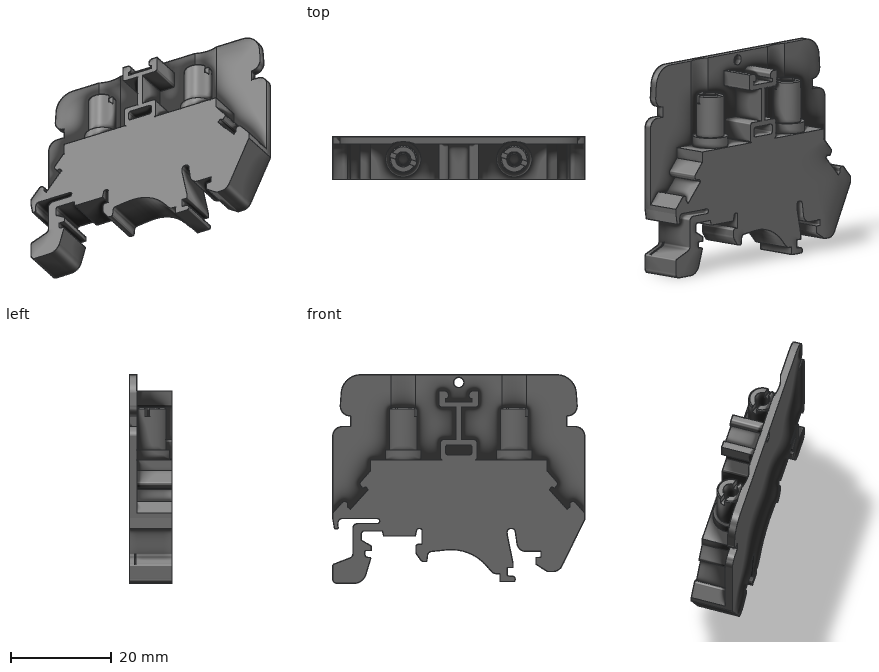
import cadquery as cq
import math


length = 50.0
height = 41.4
depth = 8.5
plate_thickness = 1.5
body_depth = depth - plate_thickness
half_length = length / 2
deck_z = 24.5

pillar_x = 11.0
pillar_y = 4.0
collar_diameter = 7.0
collar_height = 2.0
pillar_diameter = 5.5
pillar_top_z = 34.85
pillar_chamfer = 0.25
bore_diameter = 3.0
bore_floor_z = deck_z + collar_height
pin_diameter = 2.5
pin_height = 1.0
pin_chamfer = 0.25
bore_floor_chamfer = (bore_diameter - pin_diameter) / 2
driver_slot_width = 1.0
driver_slot_depth = 1.75
driver_slot_angle = -20.0

relief_half_width = 2.45
relief_depth = 0.5

post_base_half_width = 3.6
post_base_top_z = 28.5
post_neck_half_width = 0.55
clip_half_width = 3.9
clip_bottom_z = 35.0
clip_floor_z = 36.0
clip_top_z = 38.2
clip_pocket_half_width = 2.6
clip_lip_half_gap = 2.05
clip_lip_bottom_z = 36.65
clip_lip_upper_radius = 0.85
clip_lip_lower_radius = 0.5
post_corner_radius = 0.5
post_foot_undercut = 0.25
window_half_width = 2.6
window_bottom_z = 25.5
window_height = 2.0
window_corner_radius = 0.5

plate_hole_diameter = 2.0
plate_hole_z = 39.85

groove_y = 7.15
groove_width = 0.35
groove_depth = 0.45
foot_slope_low = (-half_length, 3.75)
foot_slope_high = (-21.0, 5.3)

plate_side = [
    (23.05, height, 3.9),
    (23.5, 35.25, 0),
    (23.5, 33.2, 2.0),
    (21.45, 33.2, 0),
    (21.45, 31.15, 0),
    (half_length, 31.15, 2.0),
]

body_side = [
    (17.45, deck_z, 0),
    (17.45, 22.4, 0),
    (19.75, 19.8, 0.6),
    (19.0, 18.85, 0.15),
    (18.45, 19.2, 0.3),
    (17.95, 18.6, 0),
    (21.5, 14.7, 0),
    (22.05, 15.25, 0.2),
    (22.05, 16.0, 0.25),
    (22.75, 16.45, 0.6),
    (half_length, 13.95, 0),
]

underside = [
    (half_length, 12.7, 0),
    (19.9, 2.35, 2.0),
    (17.6, 2.35, 0.25),
    (15.3, 3.8, 0.2),
    (15.3, 5.2, 0),
    (16.3, 5.2, 0.2),
    (16.3, 6.35, 0),
    (11.75, 6.35, 1.75),
    (11.1, 10.9, 0.75),
    (9.55, 10.9, 0.75),
    (9.65, 9.5, 0),
    (10.8, 3.9, 0.15),
    (10.8, 3.15, 0.15),
    (9.65, 3.15, 0),
    (9.65, 1.5, 0.25),
    (11.2, 1.45, 0.6),
    (11.2, 0.35, 0.4),
    (8.15, 0.35, 0.2),
    (8.15, 1.9, 0),
    (6.9, 1.9, 1.5),
    (2.3, 7.15, 9.25),
    (-6.1, 6.25, 0.75),
    (-6.3, 4.3, 0.4),
    (-7.35, 4.35, 0.9),
    (-8.5, 6.0, 1.0),
    (-8.5, 7.8, 0.5),
    (-7.3, 7.8, 0),
    (-7.3, 10.9, 0.45),
    (-8.25, 10.9, 0.45),
    (-8.6, 9.4, 0),
    (-14.9, 9.4, 0.15),
    (-15.15, 10.4, 0),
    (-19.3, 10.4, 0.6),
    (-19.3, 8.6, 0.15),
    (-17.3, 7.4, 0.15),
    (-17.3, 6.5, 0.15),
    (-18.6, 6.5, 0.15),
    (-18.6, 5.2, 0.6),
    (-17.35, 5.2, 0.25),
    (-18.95, 0.0, 2.5),
    (-half_length, 0.0, 0.9),
    (foot_slope_low[0], foot_slope_low[1], 0.5),
    (foot_slope_high[0], foot_slope_high[1], 0.8),
    (foot_slope_high[0], 11.9, 1.0),
    (-15.7, 11.9, 0.45),
    (-15.7, 12.85, 0.45),
    (-23.85, 12.85, 0.8),
    (-23.95, 11.6, 0),
    (-23.85, 10.85, 0.2),
    (-24.65, 10.85, 0.2),
    (-half_length, 12.9, 0),
]


def mirrored(side):
    """The corners of a right-hand side, mirrored to the left and in reverse order."""
    return [(-x, z, radius) for x, z, radius in reversed(side)]


def step_towards(start, target, distance):
    """The point at a distance from start on the line to target."""
    span = math.dist(start, target)
    return (
        start[0] + (target[0] - start[0]) * distance / span,
        start[1] + (target[1] - start[1]) * distance / span,
    )


def corner_arc(before, corner, after, radius):
    """Start, middle and end of the arc that rounds a corner between two neighbouring points."""
    towards_before = step_towards(corner, before, 0.5)
    towards_after = step_towards(corner, after, 0.5)
    half_angle = math.asin(math.dist(towards_before, towards_after) / 1)
    tangent_length = radius / math.tan(half_angle)
    chord_middle = ((towards_before[0] + towards_after[0]) / 2, (towards_before[1] + towards_after[1]) / 2)
    middle_distance = radius / math.sin(half_angle) - radius
    return (
        step_towards(corner, before, tangent_length),
        step_towards(corner, chord_middle, middle_distance),
        step_towards(corner, after, tangent_length),
    )


def rounded_prism(corners, front_y, thickness):
    """Extrude an outline of rounded corners in the XZ plane from front_y towards +Y."""
    wire = cq.Workplane("XZ", origin=(0, front_y, 0)).moveTo(*corners[0][:2])
    for index in range(1, len(corners)):
        x, z, radius = corners[index]
        if radius == 0:
            wire = wire.lineTo(x, z)
            continue
        before = corners[index - 1][:2]
        after = corners[(index + 1) % len(corners)][:2]
        start, middle, end = corner_arc(before, (x, z), after, radius)
        wire = wire.lineTo(*start).threePointArc(middle, end)
    return wire.close().extrude(-thickness)


def make_plate():
    outline = [(0, height, 0)] + plate_side + underside + mirrored(plate_side)
    plate = rounded_prism(outline, body_depth, plate_thickness)
    hole = (
        cq.Workplane("XZ", origin=(0, body_depth, plate_hole_z))
        .circle(plate_hole_diameter / 2)
        .extrude(-plate_thickness)
    )
    plate = plate.cut(hole)
    for x in (-pillar_x, pillar_x):
        relief = (
            cq.Workplane("XY", origin=(x, body_depth, deck_z))
            .moveTo(-relief_half_width, 0)
            .threePointArc((0, relief_depth), (relief_half_width, 0))
            .close()
            .extrude(height - deck_z)
        )
        plate = plate.cut(relief)
    return plate


def make_body():
    outline = [(0, deck_z, 0)] + body_side + underside + mirrored(body_side)
    return rounded_prism(outline, 0, body_depth)


def make_post():
    side = [
        (clip_pocket_half_width, clip_floor_z, 0),
        (clip_pocket_half_width, clip_lip_bottom_z, 0),
        (clip_lip_half_gap, clip_lip_bottom_z, clip_lip_lower_radius),
        (clip_lip_half_gap, clip_top_z, clip_lip_upper_radius),
        (clip_half_width, clip_top_z, 0),
        (clip_half_width, clip_bottom_z, post_corner_radius),
        (post_neck_half_width, clip_bottom_z, 0),
        (post_neck_half_width, post_base_top_z, 0),
        (post_base_half_width, post_base_top_z, post_corner_radius),
        (post_base_half_width, deck_z + post_foot_undercut, 0),
        (post_base_half_width - post_foot_undercut, deck_z, 0),
    ]
    post = rounded_prism(side + mirrored(side), 0, body_depth)
    window = (
        cq.Workplane("XY", origin=(0, body_depth / 2, window_bottom_z))
        .box(2 * window_half_width, body_depth, window_height, centered=(True, True, False))
        .edges("|Y")
        .fillet(window_corner_radius)
    )
    return post.cut(window)


def make_pillar(x):
    base = cq.Workplane("XY", origin=(x, pillar_y, deck_z))
    collar = base.circle(collar_diameter / 2).extrude(collar_height)
    shank = base.circle(pillar_diameter / 2).extrude(pillar_top_z - deck_z)
    shank = shank.faces(">Z").chamfer(pillar_chamfer)
    bore = (
        cq.Workplane("XY", origin=(x, pillar_y, bore_floor_z))
        .circle(bore_diameter / 2)
        .extrude(pillar_top_z - bore_floor_z)
        .faces("<Z")
        .chamfer(bore_floor_chamfer)
    )
    pin = (
        cq.Workplane("XY", origin=(x, pillar_y, bore_floor_z))
        .circle(pin_diameter / 2)
        .extrude(pin_height)
        .faces(">Z")
        .chamfer(pin_chamfer)
    )
    driver_slot = (
        cq.Workplane("XY", origin=(x, pillar_y, pillar_top_z - driver_slot_depth))
        .transformed(rotate=(0, 0, driver_slot_angle))
        .box(pillar_diameter, driver_slot_width, driver_slot_depth, centered=(True, True, False))
    )
    return collar.union(shank).cut(bore).cut(driver_slot).union(pin)


def make_foot_groove():
    low_x, low_z = foot_slope_low
    high_x, high_z = foot_slope_high
    slope_angle = math.degrees(math.atan2(high_z - low_z, high_x - low_x))
    slope_length = math.dist(foot_slope_low, foot_slope_high)
    return (
        cq.Workplane("XY")
        .box(slope_length, groove_width, 2 * groove_depth, centered=(False, False, True))
        .translate((groove_depth, groove_y, 0))
        .rotate((0, 0, 0), (0, 1, 0), -slope_angle)
        .translate((low_x, 0, low_z))
    )


result = make_plate().union(make_body()).union(make_post())
for side_x in (-pillar_x, pillar_x):
    result = result.union(make_pillar(side_x))
result = result.cut(make_foot_groove())